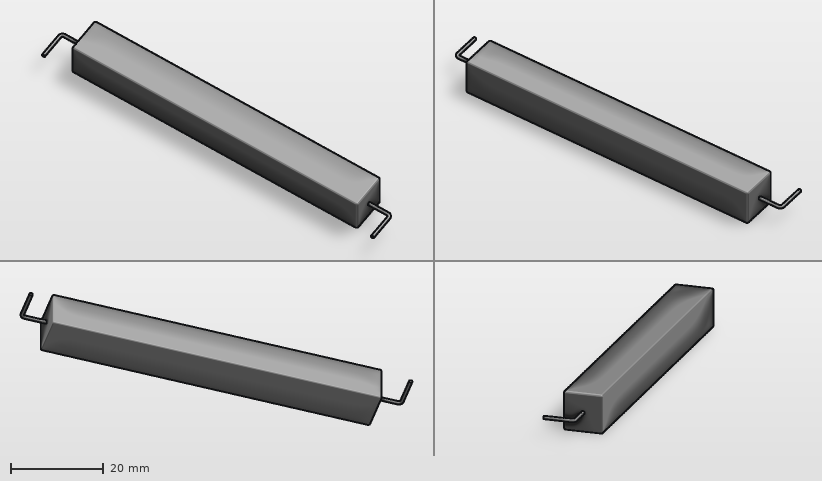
import cadquery as cq

body_length = 75.0
body_side = 9.0
edge_radius = 0.5

wire_diameter = 0.8
lead_pitch = 86.36
lead_overhang = 2.5
bend_radius = 0.75
lead_embed = 1.0

tip_y = -(body_side / 2 + lead_overhang)


def make_body():
    """Square bar with every edge rounded."""
    return cq.Workplane("XY").box(body_length, body_side, body_side).edges().fillet(edge_radius)


def make_lead(side):
    """Bent round wire at the +X (side = 1) or -X (side = -1) end."""
    start_x = side * (body_length / 2 - lead_embed)
    leg_x = side * lead_pitch / 2
    path = (
        cq.Workplane("XY")
        .moveTo(start_x, 0)
        .lineTo(leg_x - side * bend_radius, 0)
        .tangentArcPoint((leg_x, -bend_radius), relative=False)
        .lineTo(leg_x, tip_y)
    )
    return cq.Workplane("YZ", origin=(start_x, 0, 0)).circle(wire_diameter / 2).sweep(path)


result = make_body()
for end in (-1, 1):
    result = result.union(make_lead(end))